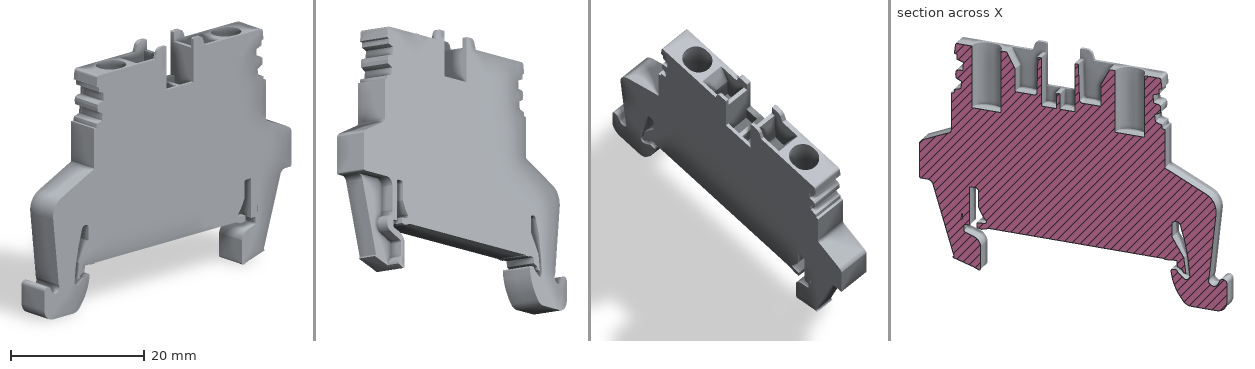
import cadquery as cq
import math


thickness = 5.1
top_z = 36.4
ear_top_z = 38.05
slot_floor_z = 31.1
slot_half_width = 2.7
ear_edge_radius = 0.2
shoulder_z = 28.2
neck_half_width = 17.5
base_z = 7.05
arm_z = 13.4
arm_root_z = 22.15
rear_end_y = 22.7
rear_slot_outer_y = 14.5
front_root_y = -17.3
front_end_y = -27.6

pocket_x_min = 0.75
pocket_x_max = 4.6
pocket_floor_z = 30.2
pocket_wall_y = 3.35
pocket_draft_top_z = 35.7
pocket_draft = 0.15
pocket_floor_radius = 0.4
ramp_outer_y = 8.4
ramp_inner_y = 7.0
ramp_drop = 2.6

screw_hole_y = 11.7
screw_hole_length = 4.75
screw_hole_width = 4.1
screw_hole_depth = 10.05

socket_x_min = 0.9
socket_near_y = 0.35
socket_far_y = slot_half_width
socket_depth = 2.5

web_x_min = 2.0

relief_x_min = 0.35
relief_width = 0.25
relief_depth = 0.25


def trace(start, steps):
    """Close a YZ outline: (y, z) is a line, (y_mid, z_mid, y, z) an arc."""
    path = cq.Workplane("YZ").moveTo(*start)
    for step in steps:
        if len(step) == 2:
            path = path.lineTo(*step)
        else:
            path = path.threePointArc(step[:2], step[2:])
    return path.close()


def round_inset(radius):
    """Distance from the middle of a quarter round to either side it blends."""
    return radius * (1 - math.sqrt(0.5))


def box_between(x_range, y_range, z_range):
    """Box spanning the three given (low, high) ranges."""
    sizes = [high - low for low, high in (x_range, y_range, z_range)]
    corner = (x_range[0], y_range[0], z_range[0])
    return cq.Workplane("XY").box(*sizes, centered=False).translate(corner)


groove_floors = [((15.55, 33.45), (15.65, 32.2)), ((15.8, 30.3), (15.95, 29.15))]

ear_edge_inset = round_inset(ear_edge_radius)
upper_half_steps = [
    (slot_half_width, slot_floor_z),
    (slot_half_width, ear_top_z - ear_edge_radius),
    (
        slot_half_width + ear_edge_inset,
        ear_top_z - ear_edge_inset,
        slot_half_width + ear_edge_radius,
        ear_top_z,
    ),
    (3.95, ear_top_z),
    (4.5, 37.8, 4.75, 37.25),
    (5.05, top_z),
    (16.4, top_z),
    (16.75, 36.25, 16.85, 36.0),
    (17.0, 34.7),
    (16.55, 34.55),
    (16.55, 33.8),
    *groove_floors[0],
    (16.4, 32.1),
    (16.75, 31.85),
    (16.8, 31.35),
    (16.75, 30.75),
    (16.45, 30.6),
    *groove_floors[1],
    (16.45, 28.95),
    (16.95, 28.85),
    (17.05, shoulder_z),
    (neck_half_width, shoulder_z),
    (neck_half_width, arm_z),
    (0, arm_z),
]
upper_half = trace((0, slot_floor_z), upper_half_steps).extrude(thickness)
upper = upper_half.union(upper_half.mirror("XZ"))

base_steps = [
    (front_root_y, arm_z),
    (rear_slot_outer_y, arm_z),
    (rear_slot_outer_y, arm_z - 0.35),
    (14.4, 13.3, 14.15, arm_z - 0.05),
    (13.6, arm_z - 0.05),
    (13.25, 13.25, 13.1, arm_z - 0.45),
    (13.1, 10.35),
    (12.5, 9.2, 11.9, 8.35),
    (11.75, 8.0, 12.15, 7.8),
    (13.3, 7.7),
    (13.3, 6.85),
    (12.5, 6.7),
    (11.25, base_z),
]
base = trace((front_root_y, base_z), base_steps).extrude(thickness)

rear_steps = [
    (neck_half_width, arm_root_z),
    (17.6, 21.85, 17.95, 21.6),
    (22.2, 19.7),
    (22.5, 19.45, rear_end_y, 19.15),
    (rear_end_y, arm_z + 0.25),
    (22.65, 13.5, rear_end_y - 0.25, arm_z),
    (16.8, arm_z),
    (16.1, 13.05, 15.7, 12.25),
    (15.7, 8.45),
    (15.7, 8.0, 16.25, 7.6),
    (16.95, 6.5, 16.3, 5.25),
    (13.9, 4.25),
    (13.6, 4.05, 13.55, 3.75),
    (13.55, 1.75),
    (14.0, 1.3, 14.2, 0.5),
    (13.1, 0.05),
    (12.75, 0.1, 12.65, 0.3),
    (12.65, 3.9),
    (13.05, 4.85, 13.85, 5.4),
    (15.1, 5.8),
    (15.35, 5.95, 15.4, 6.2),
    (15.4, 6.75),
    (15.3, 7.0, 15.1, base_z),
    (rear_slot_outer_y, base_z),
    (rear_slot_outer_y, arm_root_z),
]
rear_arm = trace((rear_slot_outer_y, arm_root_z), rear_steps).extrude(thickness)

web_steps = [
    (21.45, arm_z),
    (20.75, 13.15, 20.4, 12.45),
    (17.1, 1.7),
    (17.15, 1.45, 17.35, 1.35),
    (14.2, 0.45),
    (13.1, 0.6),
    (13.1, 4.65),
    (16.1, 6.05),
    (15.1, arm_z),
]
rear_web = trace((15.1, arm_z + 0.5), web_steps).extrude(thickness - web_x_min).translate((web_x_min, 0, 0))

front_steps = [
    (-17.4, arm_root_z),
    (-17.55, 21.9, -17.95, 21.7),
    (-24.15, 18.8),
    (-25.3, 17.85, -25.85, 15.85),
    (-24.7, 5.15),
    (-24.65, 4.5, -24.85, 4.25),
    (-25.5, 3.95, -26.05, 4.3),
    (-26.45, 5.1),
    (-27.05, 5.35, front_end_y, 4.75),
    (front_end_y, 1.75),
    (-27.1, 0.5, -25.85, 0),
    (-21.85, 0),
    (-20.9, 0.25, -20.35, 0.75),
    (-19.0, 2.9, -18.4, 5.3),
    (-18.5, 5.55),
    (-19.35, 5.65),
    (-19.6, 5.2),
    (-20.6, 4.4),
    (-21.15, 4.35, -21.5, 4.9),
    (-21.2, 7.85, -19.9, 13.1),
    (-19.25, 13.45, -18.65, 13.15),
    (-18.65, 10.8),
    (-20.55, 7.75),
    (-20.9, 5.2),
    (-20.45, 5.25),
    (-20.3, 5.7),
    (-19.45, 6.15),
    (-19.35, base_z),
    (-18.4, base_z),
    (-18.3, 6.95),
    (-17.4, 6.95),
    (front_root_y, base_z),
]
front_arm = trace((front_root_y, arm_root_z), front_steps).extrude(thickness)

body = upper.union(base).union(rear_arm).union(rear_web).union(front_arm)

wall_foot_y = pocket_wall_y + pocket_draft
pocket_floor_inset = round_inset(pocket_floor_radius)
pocket_steps = [
    (pocket_wall_y, pocket_draft_top_z),
    (wall_foot_y, pocket_floor_z + pocket_floor_radius),
    (
        wall_foot_y + pocket_floor_inset,
        pocket_floor_z + pocket_floor_inset,
        wall_foot_y + pocket_floor_radius,
        pocket_floor_z,
    ),
    (ramp_inner_y, pocket_floor_z),
    (ramp_inner_y, top_z - ramp_drop),
    (ramp_outer_y, top_z),
    (ramp_outer_y, ear_top_z),
]
pocket_width = pocket_x_max - pocket_x_min
pocket = trace((pocket_wall_y, ear_top_z), pocket_steps).extrude(pocket_width).translate((pocket_x_min, 0, 0))

ear_gap = box_between((pocket_x_min, pocket_x_max), (slot_half_width, ramp_inner_y), (top_z, ear_top_z))

hole_floor_z = top_z - screw_hole_depth
screw_hole = (
    cq.Workplane("XY", origin=(thickness / 2, screw_hole_y, hole_floor_z))
    .slot2D(screw_hole_length, screw_hole_width, 90)
    .extrude(screw_hole_depth)
)

socket = box_between(
    (socket_x_min, pocket_x_max),
    (socket_near_y, socket_far_y),
    (slot_floor_z - socket_depth, slot_floor_z),
)

for opening in (pocket, ear_gap, screw_hole, socket):
    body = body.cut(opening).cut(opening.mirror("XZ"))

for (upper_depth, upper_z), (lower_depth, lower_z) in groove_floors:
    relief_bottom_y = -min(upper_depth, lower_depth) + relief_depth
    relief = box_between(
        (relief_x_min, relief_x_min + relief_width),
        (-neck_half_width, relief_bottom_y),
        (lower_z, upper_z),
    )
    body = body.cut(relief)

result = body